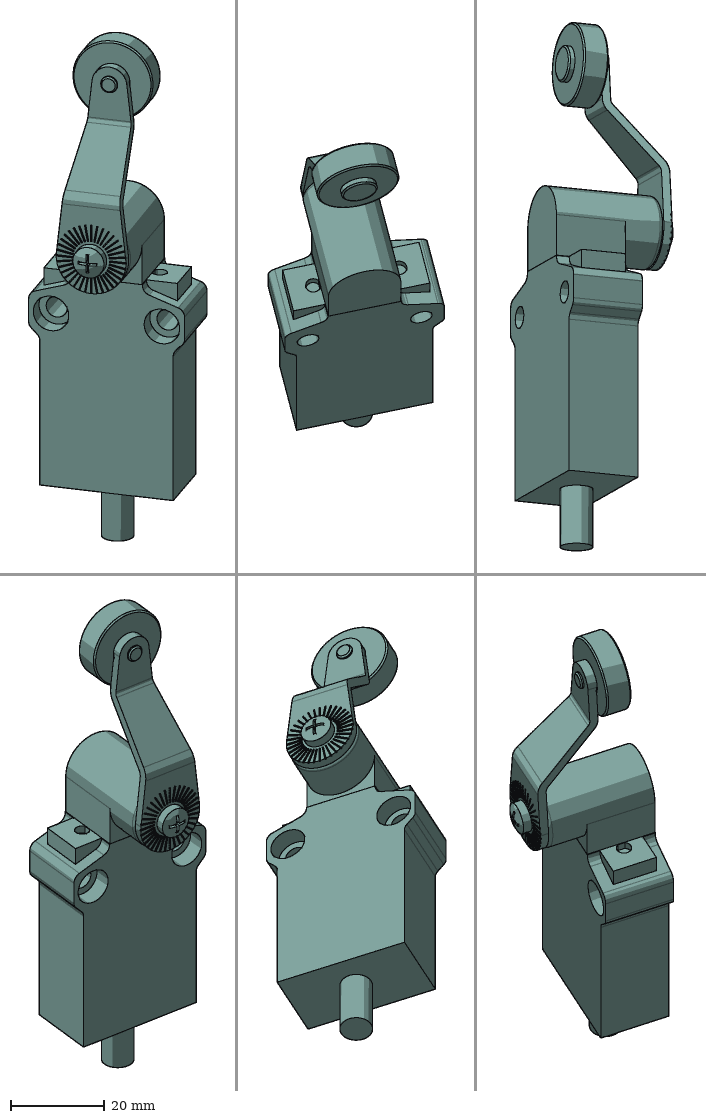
import cadquery as cq
import math


overall_height = 115.3
body_depth = 16.0
body_width = 30.0
body_bottom_z = 12.8
body_top_z = 61.8

cable_diameter = 7.0
cable_y = -body_depth / 2

ear_width = 35.0
neck_width = 16.1
shoulder_outer_z = 57.0
shoulder_inner_z = 60.1
ear_bottom_z = 49.5
shoulder_radius = 2.2
ear_top_radius = 2.1
ear_bottom_radius = 2.0
mount_hole_diameter = 4.7
mount_recess_diameter = 8.0
mount_recess_depth = 4.0
mount_hole_x = 12.5
mount_hole_z = 52.7

block_depth = 10.1
block_hole_diameter = 3.2
block_hole_x = 9.5
block_hole_depth = 1.7

barrel_diameter = 15.9
barrel_length = 25.0
barrel_edge_radius = 0.9
pivot_z = 70.8

lever_thickness = 2.0
lever_pivot_radius = 7.8
lever_tip_radius = 3.9
lever_offset = 13.0
bend_angle = math.radians(45)
lower_bend_z = 84.5
lower_bend_inner_radius = 2.0
upper_bend_inner_radius = 1.5

groove_count = 36
groove_width = 0.2
groove_depth = 0.2
groove_inner_radius = 4.2

screw_diameter = 7.0
screw_rim_height = 2.0
screw_dome_height = 0.9
recess_length = 4.2
recess_width = 0.6
recess_depth = 1.4

roller_diameter = 18.0
roller_width = 5.8
roller_chamfer = 0.3

pin_diameter = 3.7
pin_projection = 0.7
pin_chamfer = 0.3
pin_flange_diameter = 7.8
pin_flange_thickness = 1.4
collar_thickness = 0.2

ear_step = (ear_width - body_width) / 2
roller_z = overall_height - roller_diameter / 2
lever_back_y = -barrel_length
lever_front_y = lever_back_y - lever_thickness
tip_back_y = lever_back_y + lever_offset
tip_front_y = lever_front_y + lever_offset
upper_bend_z = lower_bend_z + lever_offset / math.tan(bend_angle)
roller_back_y = tip_back_y + collar_thickness + roller_width


def cylinder_toward_front(diameter, length, x, y, z):
    """Cylinder along Y that starts at y and runs toward -Y."""
    return cq.Workplane("XZ", origin=(x, y, z)).circle(diameter / 2).extrude(length)


def housing_plate():
    neck, ear, side = neck_width / 2, ear_width / 2, body_width / 2
    flank_z = ear_bottom_z - ear_step
    right_side = [
        (side, body_bottom_z),
        (side, flank_z),
        (ear, ear_bottom_z),
        (ear, shoulder_outer_z),
        (neck, shoulder_inner_z),
        (neck, body_top_z),
    ]
    left_side = [(-x, z) for x, z in reversed(right_side)]
    plate = cq.Workplane("XZ").polyline(right_side + left_side).close().extrude(body_depth)

    def edges_at(x, z):
        reach = 0.1
        low = (x - reach, -body_depth - reach, z - reach)
        high = (x + reach, reach, z + reach)
        return cq.selectors.BoxSelector(low, high, boundingbox=False)

    for sign in (-1, 1):
        plate = plate.edges(edges_at(sign * neck, shoulder_inner_z)).fillet(shoulder_radius)
        plate = plate.edges(edges_at(sign * ear, shoulder_outer_z)).fillet(ear_top_radius)
        for x, z in ((ear, ear_bottom_z), (side, flank_z)):
            plate = plate.edges(edges_at(sign * x, z)).fillet(ear_bottom_radius)
    return plate


def terminal_block(sign):
    length = body_width / 2
    block = cq.Workplane("XY").box(length, block_depth, body_top_z - ear_bottom_z)
    block = block.translate((sign * length / 2, -body_depth / 2, (body_top_z + ear_bottom_z) / 2))
    return block


def terminal_block_hole(sign):
    """Blind hole in the block top, cut off flat where it meets the neck."""
    floor = (sign * block_hole_x, -body_depth / 2, body_top_z - block_hole_depth)
    hole = cq.Workplane("XY", origin=floor).circle(block_hole_diameter / 2).extrude(block_hole_depth)
    neck = cq.Workplane("XY").box(neck_width, 2 * body_depth, 2 * body_top_z)
    return hole.cut(neck)


def mounting_hole(sign):
    x = sign * mount_hole_x
    hole = cylinder_toward_front(mount_hole_diameter, body_depth, x, 0, mount_hole_z)
    recess_floor_y = mount_recess_depth - body_depth
    recess = cylinder_toward_front(
        mount_recess_diameter, mount_recess_depth, x, recess_floor_y, mount_hole_z
    )
    return hole.union(recess)


def make_housing():
    housing = housing_plate()
    for sign in (-1, 1):
        housing = housing.union(terminal_block(sign))
        housing = housing.cut(terminal_block_hole(sign))
        housing = housing.cut(mounting_hole(sign))
    cable = cq.Workplane("XY", origin=(0, cable_y, 0)).circle(cable_diameter / 2)
    return housing.union(cable.extrude(body_bottom_z))


def make_head():
    barrel = cylinder_toward_front(barrel_diameter, barrel_length, 0, 0, pivot_z)
    barrel = barrel.faces("<Y").edges().fillet(barrel_edge_radius)
    neck_height = pivot_z - body_top_z
    neck = cq.Workplane("XY").box(barrel_diameter, body_depth, neck_height)
    neck = neck.translate((0, -body_depth / 2, body_top_z + neck_height / 2))
    return barrel.union(neck)


def cranked_strip():
    """Side profile with two equal bends, as wide as the pivot end."""
    back_shift = lever_thickness * math.tan(bend_angle / 2)
    bottom_z = pivot_z - lever_pivot_radius
    top_z = roller_z + lever_tip_radius
    profile = [
        (lever_front_y, bottom_z),
        (lever_front_y, lower_bend_z),
        (tip_front_y, upper_bend_z),
        (tip_front_y, top_z),
        (tip_back_y, top_z),
        (tip_back_y, upper_bend_z - back_shift),
        (lever_back_y, lower_bend_z - back_shift),
        (lever_back_y, bottom_z),
    ]
    strip = cq.Workplane("YZ").polyline(profile).close().extrude(lever_pivot_radius, both=True)

    def fillet_bend(solid, y, z, radius):
        near = cq.selectors.NearestToPointSelector((0, y, z))
        return solid.edges("|X").edges(near).fillet(radius)

    strip = fillet_bend(strip, *profile[1], lower_bend_inner_radius + lever_thickness)
    strip = fillet_bend(strip, *profile[6], lower_bend_inner_radius)
    strip = fillet_bend(strip, *profile[2], upper_bend_inner_radius)
    return fillet_bend(strip, *profile[5], upper_bend_inner_radius + lever_thickness)


def tapered_outline():
    """Two end circles joined by their common tangents, as a prism along Y."""
    sine = (lever_pivot_radius - lever_tip_radius) / (roller_z - pivot_z)
    cosine = math.sqrt(1 - sine**2)
    pivot_x = lever_pivot_radius * cosine
    pivot_tangent_z = pivot_z + lever_pivot_radius * sine
    tip_x = lever_tip_radius * cosine
    tip_tangent_z = roller_z + lever_tip_radius * sine
    outline = (
        cq.Workplane("XZ")
        .moveTo(pivot_x, pivot_tangent_z)
        .lineTo(tip_x, tip_tangent_z)
        .threePointArc((0, roller_z + lever_tip_radius), (-tip_x, tip_tangent_z))
        .lineTo(-pivot_x, pivot_tangent_z)
        .threePointArc((0, pivot_z - lever_pivot_radius), (pivot_x, pivot_tangent_z))
        .close()
    )
    return outline.extrude(-lever_front_y)


def serration_grooves():
    length = lever_pivot_radius - groove_inner_radius
    floor = cq.Workplane("XZ", origin=(0, lever_front_y + groove_depth, pivot_z))
    middle_radius = groove_inner_radius + length / 2
    places = floor.polarArray(middle_radius, 0, 360, groove_count)
    return places.rect(length, groove_width).extrude(groove_depth)


def clamping_screw():
    radius = screw_diameter / 2
    dome_y = lever_front_y - screw_rim_height
    top_y = dome_y - screw_dome_height
    dome_radius = (radius**2 + screw_dome_height**2) / (2 * screw_dome_height)
    half_angle = math.asin(radius / dome_radius) / 2
    dome_middle = (dome_radius * math.sin(half_angle), top_y + dome_radius * (1 - math.cos(half_angle)))
    profile = (
        cq.Workplane("XY", origin=(0, 0, pivot_z))
        .moveTo(0, lever_front_y)
        .lineTo(radius, lever_front_y)
        .lineTo(radius, dome_y)
        .threePointArc(dome_middle, (0, top_y))
        .close()
    )
    screw = profile.revolve(360, (0, 0, 0), (0, 1, 0))
    recess_plane = cq.Workplane("XZ", origin=(0, top_y + recess_depth, pivot_z))
    for length, height in ((recess_length, recess_width), (recess_width, recess_length)):
        screw = screw.cut(recess_plane.rect(length, height).extrude(recess_depth))
    return screw


def roller_pin():
    """Pin with a flange behind the roller and a thin collar between roller and arm."""
    flange_back_y = roller_back_y + pin_flange_thickness
    flange = cylinder_toward_front(pin_flange_diameter, pin_flange_thickness, 0, flange_back_y, roller_z)
    flange = flange.faces(">Y").edges().chamfer(pin_chamfer)
    pin_length = roller_back_y - tip_front_y + pin_projection
    pin = cylinder_toward_front(pin_diameter, pin_length, 0, roller_back_y, roller_z)
    pin = pin.faces("<Y").edges().chamfer(pin_chamfer)
    collar_y = tip_back_y + collar_thickness
    collar = cylinder_toward_front(pin_flange_diameter, collar_thickness, 0, collar_y, roller_z)
    return flange.union(pin).union(collar)


def make_lever():
    arm = cranked_strip().intersect(tapered_outline())
    arm = arm.cut(serration_grooves())
    return arm.union(clamping_screw()).union(roller_pin())


def make_roller():
    roller = cylinder_toward_front(roller_diameter, roller_width, 0, roller_back_y, roller_z)
    roller = roller.faces("<Y or >Y").edges().chamfer(roller_chamfer)
    return roller.cut(cylinder_toward_front(pin_diameter, roller_width, 0, roller_back_y, roller_z))


housing = make_housing()
head = make_head()
lever = make_lever()
roller = make_roller()

result = cq.Compound.makeCompound([housing.val(), head.val(), lever.val(), roller.val()])